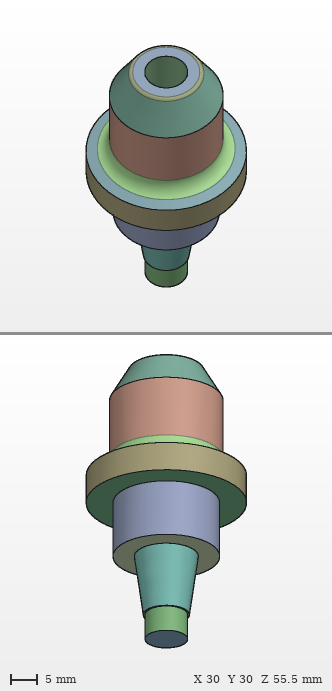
import cadquery as cq
import math

total_height = 55.5
pin_top = 5.0
taper_top = pin_top + 12.0
flange_bottom = taper_top + 11.0
flange_edge_top = flange_bottom + 5.6
flange_top = flange_edge_top + 0.6
nose_bottom = 48.95

pin_radius = 8.0 / 2
taper_bottom_radius = 4.35
taper_top_radius = 6.0
shank_radius = 20.0 / 2
flange_radius = 30.0 / 2
fillet_outer_radius = 12.9
fillet_radius = 3.0
body_radius = 21.3 / 2
nose_radius = 7.05
mouth_radius = 6.25
rim_radius = 1.0
bore_radius = 8.0 / 2

bore_depth = 20.0

fillet_width = fillet_outer_radius - body_radius
fillet_angle = math.acos(1 - fillet_width / fillet_radius)
fillet_top = flange_top + fillet_radius * math.sin(fillet_angle)
fillet_middle = (
    body_radius + fillet_radius * (1 - math.cos(fillet_angle / 2)),
    fillet_top - fillet_radius * math.sin(fillet_angle / 2),
)

rim_angle = math.asin((nose_radius - mouth_radius) / rim_radius)
nose_top = total_height - rim_radius * (1 - math.cos(rim_angle))
rim_middle = (
    mouth_radius + rim_radius * math.sin(rim_angle / 2),
    total_height - rim_radius * (1 - math.cos(rim_angle / 2)),
)


def turned_body():
    """Revolve the outer profile around Z."""
    profile = (
        cq.Workplane("XZ")
        .lineTo(pin_radius, 0)
        .lineTo(pin_radius, pin_top)
        .lineTo(taper_bottom_radius, pin_top)
        .lineTo(taper_top_radius, taper_top)
        .lineTo(shank_radius, taper_top)
        .lineTo(shank_radius, flange_bottom)
        .lineTo(flange_radius, flange_bottom)
        .lineTo(flange_radius, flange_edge_top)
        .lineTo(fillet_outer_radius, flange_top)
        .threePointArc(fillet_middle, (body_radius, fillet_top))
        .lineTo(body_radius, nose_bottom)
        .lineTo(nose_radius, nose_top)
        .threePointArc(rim_middle, (mouth_radius, total_height))
        .lineTo(0, total_height)
        .close()
    )
    return profile.revolve(360, (0, 0), (0, 1))


def bore():
    """Blind round hole in the nose."""
    return (
        cq.Workplane("XY", origin=(0, 0, total_height - bore_depth))
        .circle(bore_radius)
        .extrude(bore_depth)
    )


result = turned_body().cut(bore())